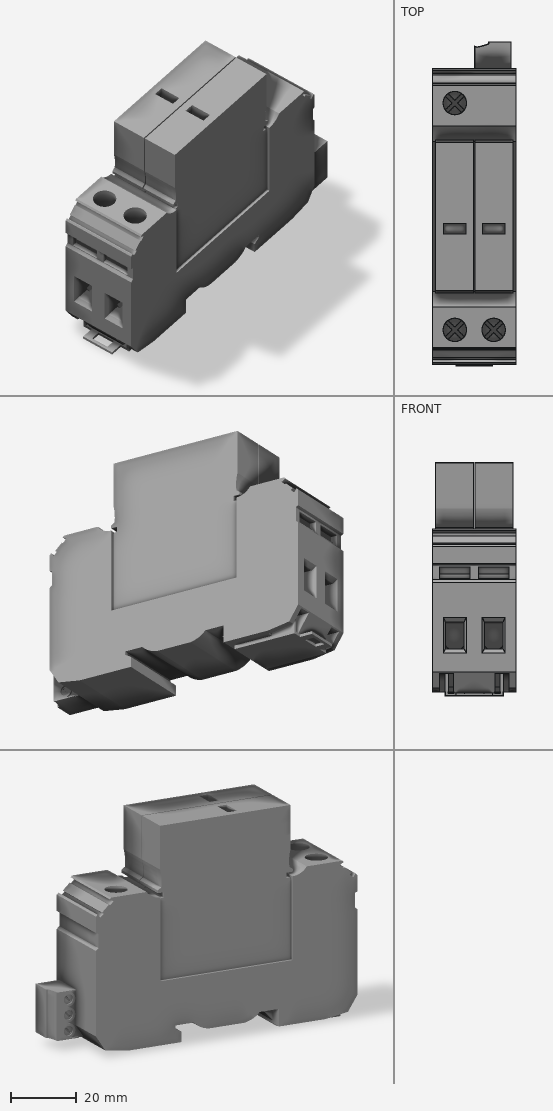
import cadquery as cq


body_width = 25.4
body_half_length = 44.9
shoulder_top = 49.6
shoulder_lip = 40.2
label_lip_top = 44.7
lip_bevel = 0.5
foot_slope_top = 6.1
foot_slope_bottom = 1.2
foot_slope_end = 41.7
rail_top = 5.6
label_groove_wall = body_half_length - 0.9
pole_x = 5.9
pole_positions = (-pole_x, pole_x)

module_half_length = 22.4
module_half_width = 11.8
module_top = 69.6
module_gap = 0.4
bay_half_length = 22.7
bay_floor = 20.5
bay_top = 47.1

indicator_length = 6.9
indicator_width = 3.1
indicator_y = -3.7
indicator_depth = 3.9

screw_hole_diameter = 7.1
screw_hole_depth = 7.9
screw_hole_y = 34.4
cross_slot_width = 1.2
cross_slot_depth = 1.0

entry_width = 7.0
entry_bottom = 11.9
entry_top = 22.7
throat_width = 5.7
throat_bottom = 13.1
throat_top = 21.3
funnel_depth = 1.3
throat_depth = 8.85
throat_corner_start = 5.4
throat_corner = 1.0
throat_top_radius = 0.9

label_width = 9.2
label_bottom = 34.4
label_step = 35.9
label_top = 38.0
label_lower_depth = 1.5
label_upper_depth = 2.3

latch_half_width = 8.85
latch_wall = 1.0
latch_bottom = -1.2
latch_plate = 0.9
latch_back = -19.4
latch_front = -41.1
rail_edge = -18.0
hook_tip = -15.1
hook_bottom = 0.8
hook_top = 4.6
tongue_half_width = 5.6
tongue_front = -45.3
tongue_margin = 1.1
tongue_window_length = 5.9
tongue_window_width = 3.1
channel_inner = 6.3
channel_outer = 10.5
channel_top = 5.7
channel_end = -32.9
channel_arc_radius = 2.6
channel_ledge = 1.6
channel_ledge_width = 1.0

connector_left = 0.1
connector_right = 11.2
connector_step_x = 4.3
connector_step = 1.3
connector_back = 53.0
connector_bottom = 2.1
connector_top = 17.5
connector_front = 44.1
connector_root = 40.3
connector_root_step = 0.4
contact_pitch = 5.0
contact_count = 3
contact_y = 47.6
contact_diameter = 3.1
contact_lobe_diameter = 4.7
contact_recess = 0.5
contact_slot_width = 0.6
contact_slot_depth = 0.3


def box(x0, x1, y0, y1, z0, z1):
    return cq.Workplane("XY").box(x1 - x0, y1 - y0, z1 - z0, centered=False).translate((x0, y0, z0))


def side_prism(outline, x0, x1):
    """Extrude a closed outline drawn in (Y, Z) from x0 to x1."""
    return outline.close().extrude(x1 - x0).translate((x0, 0, 0))


def across(points):
    """The same points on the other side of Y = 0."""
    return [(-y, z) for y, z in points]


def add_lines(outline, points):
    for y, z in points:
        outline = outline.lineTo(y, z)
    return outline


def make_body():
    outer_side = [
        (shoulder_lip - lip_bevel, shoulder_top), (shoulder_lip, shoulder_top - lip_bevel),
        (38.9, 48.3), (40.0, 47.2), (40.5, 47.4),
        (42.9, 45.2), (42.3, 44.7), (43.5, 43.8), (44.2, label_lip_top),
        (body_half_length - lip_bevel, label_lip_top), (body_half_length, label_lip_top - lip_bevel),
        (body_half_length, 39.0), (label_groove_wall, 38.6),
        (label_groove_wall, 34.1), (body_half_length, 33.3), (body_half_length, foot_slope_top),
        (foot_slope_end, foot_slope_bottom), (34.0, 0),
    ]
    fixed_jaw = [(17.6, rail_top), (17.6, 4.5), (15.5, 3.3), (15.5, 0)]
    shoulder_end = (27.5, shoulder_top)
    shoulder_middle = (25.3, 47.7)
    bay_edge = (bay_half_length, bay_top)
    belly_start = (11.4, rail_top)
    belly_middle = (8.9, 3.8)
    belly_end = (6.0, 2.95)
    front_shoulder_end, front_shoulder_middle, front_bay_edge = across(
        [shoulder_end, shoulder_middle, bay_edge]
    )
    front_belly_start, front_belly_middle, front_belly_end = across([belly_start, belly_middle, belly_end])

    outline = cq.Workplane("YZ").moveTo(-bay_half_length, bay_floor).lineTo(*front_bay_edge)
    outline = outline.threePointArc(front_shoulder_middle, front_shoulder_end)
    outline = add_lines(outline, across(outer_side))
    outline = add_lines(outline, [(rail_edge, 0), (rail_edge, rail_top), front_belly_start])
    outline = outline.threePointArc(front_belly_middle, front_belly_end).lineTo(*belly_end)
    outline = outline.threePointArc(belly_middle, belly_start)
    outline = add_lines(outline, fixed_jaw + outer_side[::-1] + [shoulder_end])
    outline = outline.threePointArc(shoulder_middle, bay_edge).lineTo(bay_half_length, bay_floor)
    return side_prism(outline, -body_width / 2, body_width / 2)


def make_modules():
    lower_side = [
        (22.0, 50.0), (23.2, 49.2), (23.2, 48.3), (21.0, 48.3), (21.0, 46.6),
        (22.1, 46.6), (module_half_length, 46.1), (module_half_length, bay_floor),
    ]
    waist_top = (module_half_length, 55.7)
    waist_middle = (21.9, 52.6)
    front_waist_top, front_waist_middle = across([waist_top, waist_middle])
    outline = cq.Workplane("YZ").moveTo(-module_half_length, module_top)
    outline = outline.lineTo(module_half_length, module_top).lineTo(*waist_top)
    outline = outline.threePointArc(waist_middle, lower_side[0])
    outline = add_lines(outline, lower_side[1:] + across(lower_side[::-1]))
    outline = outline.threePointArc(front_waist_middle, front_waist_top)
    right_module = side_prism(outline, module_gap / 2, module_half_width)
    return right_module.union(right_module.mirror("YZ"))


def indicator_cut(x):
    return box(
        x - indicator_length / 2, x + indicator_length / 2,
        indicator_y - indicator_width / 2, indicator_y + indicator_width / 2,
        module_top - indicator_depth, module_top,
    )


def terminal_screw_cut(x, y):
    """Round shaft with a cross slot in the screw head at its bottom."""
    screw_head = shoulder_top - screw_hole_depth
    head_plane = cq.Workplane("XY", origin=(x, y, screw_head))
    cut = head_plane.circle(screw_hole_diameter / 2).extrude(screw_hole_depth)
    round_head = head_plane.circle(screw_hole_diameter / 2).extrude(-cross_slot_depth)
    for angle in (45, 135):
        slot = (
            head_plane.transformed(rotate=(0, 0, angle))
            .rect(screw_hole_diameter, cross_slot_width)
            .extrude(-cross_slot_depth)
        )
        cut = cut.union(slot.intersect(round_head))
    return cut


def wire_entry_cut(x):
    """Tapered mouth leading into a throat with a rounded top and cut lower corners."""
    mouth_y = -body_half_length
    throat_start = mouth_y + funnel_depth
    corner_start = mouth_y + throat_corner_start
    throat_end = mouth_y + throat_depth
    throat_height = throat_top - throat_bottom
    entry_middle = (entry_bottom + entry_top) / 2
    throat_middle = (throat_bottom + throat_top) / 2
    funnel = (
        cq.Workplane("XZ", origin=(x, mouth_y, entry_middle))
        .rect(entry_width, entry_top - entry_bottom)
        .workplane(offset=-funnel_depth)
        .center(0, throat_middle - entry_middle)
        .rect(throat_width, throat_height)
        .loft(combine=True)
    )
    half = throat_width / 2
    outer_throat = box(x - half, x + half, throat_start, corner_start, throat_bottom, throat_top)
    inner_throat = (
        box(x - half, x + half, corner_start, throat_end, throat_bottom, throat_top)
        .edges("|Y and <Z").chamfer(throat_corner)
        .edges(">Y and >Z").fillet(throat_top_radius)
    )
    return funnel.union(outer_throat).union(inner_throat)


def label_window_cut(x):
    left = x - label_width / 2
    right = x + label_width / 2
    wall = -label_groove_wall
    lower = box(left, right, wall, wall + label_lower_depth, label_bottom, label_step)
    upper = box(left, right, wall, wall + label_upper_depth, label_step, label_top)
    return lower.union(upper)


def latch_channel_cut():
    """Pair of channels in the underside that take the latch walls."""
    channel_mouth = -body_half_length
    outer_outline = (
        cq.Workplane("YZ")
        .moveTo(channel_mouth, 0)
        .lineTo(channel_mouth, channel_top)
        .lineTo(channel_end - channel_arc_radius, channel_top)
        .radiusArc((channel_end, channel_top - channel_arc_radius), channel_arc_radius)
        .lineTo(channel_end, 0)
    )
    outer = side_prism(outer_outline, latch_half_width, channel_outer)
    inner = box(channel_inner, latch_half_width, channel_mouth, channel_end, channel_ledge, channel_top)
    below_ledge = box(
        channel_inner, latch_half_width, channel_mouth, channel_end - channel_ledge_width, 0, channel_ledge
    )
    right = outer.union(inner).union(below_ledge)
    return right.union(right.mirror("YZ"))


def make_latch():
    plate_top = latch_bottom + latch_plate
    plate = box(-latch_half_width, latch_half_width, latch_front, latch_back, latch_bottom, plate_top)
    tongue = box(
        -tongue_half_width, tongue_half_width, tongue_front, latch_front, latch_bottom, plate_top
    )
    window_front = tongue_front + tongue_margin
    window = box(
        -tongue_window_length / 2, tongue_window_length / 2,
        window_front, window_front + tongue_window_width, latch_bottom, plate_top,
    )
    latch = plate.union(tongue).cut(window)
    wall = box(
        latch_half_width - latch_wall, latch_half_width, latch_front, latch_back, latch_bottom, channel_top
    )
    hook_outline = (
        cq.Workplane("YZ")
        .moveTo(rail_edge, hook_bottom)
        .lineTo(hook_tip, 4.0)
        .lineTo(hook_tip - 0.6, hook_top - 0.1)
        .lineTo(rail_edge, hook_top)
    )
    hook = side_prism(hook_outline, -latch_half_width, latch_half_width)
    slope_run = (body_half_length - foot_slope_end) / (foot_slope_top - foot_slope_bottom)
    rib_outline = (
        cq.Workplane("YZ")
        .moveTo(-foot_slope_end, foot_slope_bottom)
        .lineTo(-foot_slope_end + slope_run * (foot_slope_bottom - plate_top), plate_top)
        .lineTo(channel_end, plate_top)
        .lineTo(channel_end, foot_slope_bottom)
    )
    rib = side_prism(rib_outline, -channel_inner, channel_inner)
    return latch.union(wall).union(wall.mirror("YZ")).union(hook).union(rib)


def contact_screw_slot(z):
    return (
        cq.Workplane("YZ", origin=(connector_left + contact_recess, contact_y, z))
        .transformed(rotate=(0, 0, 45))
        .rect(contact_diameter - contact_slot_width, contact_slot_width)
        .extrude(contact_slot_depth)
    )


def make_connector():
    height = connector_top - connector_bottom
    side_back = connector_back - connector_step
    hollow_end = (connector_step_x, connector_back - 0.6)
    hollow_middle = (2.6, connector_back - 1.2)
    outline = (
        cq.Workplane("XY", origin=(0, 0, connector_bottom))
        .moveTo(connector_left, connector_front)
        .lineTo(connector_left, side_back)
        .lineTo(connector_left + 0.7, side_back - 0.3)
        .threePointArc(hollow_middle, hollow_end)
        .lineTo(connector_step_x, connector_back)
        .lineTo(connector_right, connector_back)
        .lineTo(connector_right, connector_front)
    )
    connector = outline.close().extrude(height)
    root = box(
        connector_left + connector_root_step, connector_right,
        connector_root, connector_front, connector_bottom, connector_top,
    )
    middle = (connector_bottom + connector_top) / 2
    reach = contact_pitch + contact_lobe_diameter / 2
    recess = box(
        connector_left, connector_left + contact_recess,
        connector_front, contact_y, middle - reach, middle + reach,
    )
    first_screw = middle - (contact_count - 1) / 2 * contact_pitch
    screws = [first_screw + index * contact_pitch for index in range(contact_count)]
    places = [(contact_y, z) for z in screws]
    face = cq.Workplane("YZ", origin=(connector_left, 0, 0))
    lobes = face.pushPoints(places).circle(contact_lobe_diameter / 2).extrude(contact_recess)
    holes = face.pushPoints(places).circle(contact_diameter / 2).extrude(contact_recess)
    connector = connector.cut(recess.cut(lobes)).cut(holes)
    for z in screws:
        connector = connector.cut(contact_screw_slot(z))
    return connector.union(root)


result = make_body().cut(latch_channel_cut()).union(make_modules())
for pole in pole_positions:
    result = result.cut(indicator_cut(pole))
    result = result.cut(wire_entry_cut(pole))
    result = result.cut(label_window_cut(pole))
    result = result.cut(terminal_screw_cut(pole, -screw_hole_y))
result = result.cut(terminal_screw_cut(-pole_x, screw_hole_y))
result = result.union(make_latch()).union(make_connector())